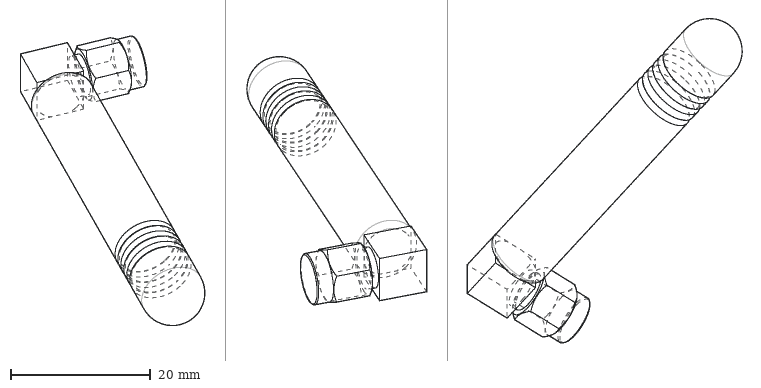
import cadquery as cq
import math

body_radius = 4.7
body_start = 3.25
body_tip = 53.9
body_edge_radius = 0.85
dome_start = body_tip - body_radius

groove_count = 3
groove_start = 38.3
groove_pitch = 2.4
groove_width = 1.15
groove_depth = 0.4

block_size = 7.15
block_left = -3.45

neck_radius = 3.0
nut_across_flats = 7.6
collar_radius = 3.75
nut_start = 4.75
hex_end = 10.65
connector_end = 13.1
hex_chamfer_length = 0.45
collar_chamfer = 0.2

hex_corner_radius = nut_across_flats / 2 / math.cos(math.pi / 6)


def rod_along_y(radius, start, end):
    """Cylinder on the Y axis between two Y positions."""
    return cq.Workplane("XZ", origin=(0, start, 0)).circle(radius).extrude(start - end)


def make_body():
    """Revolved rod with a rounded rear edge, round-bottomed grooves and a hemispherical tip."""
    edge_diagonal = body_edge_radius * (1 - math.sqrt(0.5))
    floor_radius = body_radius - groove_depth
    outline = (
        cq.Workplane("XY")
        .moveTo(body_start, 0)
        .lineTo(body_start, body_radius - body_edge_radius)
        .threePointArc(
            (body_start + edge_diagonal, body_radius - edge_diagonal),
            (body_start + body_edge_radius, body_radius),
        )
    )
    for index in range(groove_count):
        start = groove_start + index * groove_pitch
        end = start + groove_width
        outline = outline.lineTo(start, body_radius).threePointArc(
            (start + groove_width / 2, floor_radius), (end, body_radius)
        )
    dome_mid = body_radius * math.sqrt(0.5)
    outline = (
        outline.lineTo(dome_start, body_radius)
        .threePointArc((dome_start + dome_mid, dome_mid), (body_tip, 0))
        .close()
    )
    return outline.revolve(360, (0, 0, 0), (1, 0, 0))


def make_block():
    """Square elbow block joining the body to the connector."""
    length = body_start - block_left
    return cq.Workplane("XY").box(length, block_size, block_size).translate(
        (block_left + length / 2, 0, 0)
    )


def make_hex():
    """Hexagonal nut with corners at +Z and -Z, turned down at both ends."""
    hexagon = (
        cq.Workplane("XZ", origin=(0, nut_start, 0))
        .transformed(rotate=(0, 0, 90))
        .polygon(6, 2 * hex_corner_radius)
        .extrude(nut_start - hex_end)
    )
    turned_envelope = (
        cq.Workplane("XY")
        .moveTo(0, nut_start)
        .lineTo(collar_radius, nut_start)
        .lineTo(hex_corner_radius, nut_start + hex_chamfer_length)
        .lineTo(hex_corner_radius, hex_end - hex_chamfer_length)
        .lineTo(collar_radius, hex_end)
        .lineTo(0, hex_end)
        .close()
        .revolve(360, (0, 0, 0), (0, 1, 0))
    )
    return hexagon.intersect(turned_envelope)


def make_connector():
    """Neck, hexagonal nut and round collar."""
    neck = rod_along_y(neck_radius, 0, nut_start)
    collar = rod_along_y(collar_radius, hex_end, connector_end)
    collar = collar.faces(">Y").chamfer(collar_chamfer)
    return neck.union(make_hex()).union(collar)


result = make_block().union(make_body()).union(make_connector())